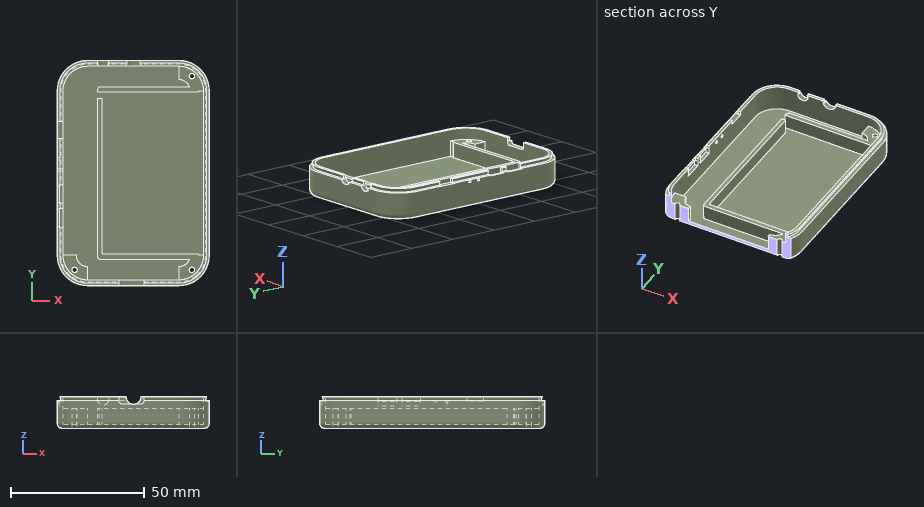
import cadquery as cq
import math

LENGTH_X = 57.2
LENGTH_Y = 84.7
HEIGHT = 12.0
CORNER_RADIUS = 11.5
BOTTOM_FILLET = 2.0
FLOOR_TOP = 1.6
ROOT_Z = FLOOR_TOP / 2

WALL = 2.2
LIP_TOP_INSET = 1.0
LIP_UNDERCUT = 0.4
SHELF_Z = 10.5

TANGENT_X = LENGTH_X / 2 - CORNER_RADIUS
TANGENT_Y = LENGTH_Y / 2 - CORNER_RADIUS
CAVITY_X = LENGTH_X / 2 - WALL
CAVITY_Y = LENGTH_Y / 2 - WALL

BOSS_TOP = 7.6
BOSS_SCOOP_RADIUS = 4.3
SCREW_DIAMETER = 1.9
SCREW_X = 22.05
SCREW_Y = 36.4
BOSS_CORNERS = [(1, 1), (1, -1), (-1, -1)]

RIB_LEFT = -13.4
RIB_SIDE_THICKNESS = 1.6
RIB_INNER_Y = 30.5
RIB_OUTER_Y = 32.4
RIB_RIGHT = 24.5
RIB_SIDE_TOP_Y = 28.0
RIB_OUTER_RADIUS = 1.0
RIB_INNER_RADIUS = 0.8
RIB_END_BEVEL_X = 0.55
RIB_END_BEVEL_Y = 1.0

CONNECTOR_X = -0.65
CONNECTOR_WIDTH = 9.4
CONNECTOR_BOTTOM = 9.2
CONNECTOR_RADIUS = 1.2

CABLE_NOTCHES = [(-11.3, 11.0, 4.3), (0.1, 11.9, 5.5)]

LIP_GAP_Y = 16.15
LIP_GAP_WIDTH = 6.3
LIP_GAP_BOTTOM = 10.4

BUTTON_NOTCHES = [(-7.9, 6.85), (-16.8, 7.15)]
BUTTON_NOTCH_BOTTOM = 10.25
BUTTON_NOTCH_SIDE_INSET = 0.3
BUTTON_POCKET_DEPTH_X = 1.4
BUTTON_POCKET_BOTTOM = 8.5

LIGHT_DIAMETER = 1.0
LIGHT_Z = 9.85
LIGHT_Y = [5.4, 1.2]


def block(x0, x1, y0, y1, z0, z1):
    """Axis-aligned box between the given limits."""
    return cq.Workplane("XY").box(x1 - x0, y1 - y0, z1 - z0, centered=False).translate((x0, y0, z0))


def rounded_slab(inset, z0, z1):
    """Tray outline moved inward by inset, extruded from z0 to z1."""
    slab = cq.Workplane("XY").workplane(offset=z0).rect(LENGTH_X - 2 * inset, LENGTH_Y - 2 * inset)
    return slab.extrude(z1 - z0).edges("|Z").fillet(CORNER_RADIUS - inset)


def undercut_lip():
    """Slab above the shelf whose side flares outward as it rises."""
    foot_inset = LIP_TOP_INSET + LIP_UNDERCUT
    lip_height = HEIGHT - SHELF_Z
    foot = rounded_slab(foot_inset, FLOOR_TOP, SHELF_Z)
    flare_angle = math.degrees(math.atan2(LIP_UNDERCUT, lip_height))
    return foot.faces(">Z").wires().toPending().extrude(lip_height, taper=-flare_angle)


def make_shell():
    body = rounded_slab(0, 0, SHELF_Z).faces("<Z").edges().fillet(BOTTOM_FILLET)
    return body.union(undercut_lip()).cut(rounded_slab(WALL, FLOOR_TOP, HEIGHT))


def make_bosses():
    """Corner blocks, each with a round scoop centred on its inward corner."""
    corner_slab = rounded_slab(WALL / 2, ROOT_Z, BOSS_TOP)
    bosses = cq.Workplane("XY")
    for side_x, side_y in BOSS_CORNERS:
        x_limits = sorted((side_x * TANGENT_X, side_x * LENGTH_X / 2))
        y_limits = sorted((side_y * TANGENT_Y, side_y * LENGTH_Y / 2))
        boss = corner_slab.intersect(block(*x_limits, *y_limits, 0, HEIGHT))
        scoop = cq.Workplane("XY", origin=(side_x * TANGENT_X, side_y * TANGENT_Y, FLOOR_TOP))
        scoop = scoop.circle(BOSS_SCOOP_RADIUS).extrude(HEIGHT)
        bosses = bosses.add(boss.cut(scoop))
    return bosses.combine()


def make_ribs():
    """L-shaped rib on the -X and -Y sides, and a separate straight rib on the +Y side."""
    z_limits = (ROOT_Z, BOSS_TOP)
    frame = block(RIB_LEFT, RIB_RIGHT, -RIB_OUTER_Y, RIB_OUTER_Y, *z_limits)
    frame = frame.edges("|Z and <X and <Y").fillet(RIB_OUTER_RADIUS)
    bevel = cq.Workplane("XY", origin=(RIB_LEFT, RIB_OUTER_Y, 0))
    bevel = bevel.polyline([(0, 0), (RIB_END_BEVEL_X, 0), (0, -RIB_END_BEVEL_Y)]).close().extrude(HEIGHT)
    opening = block(RIB_LEFT + RIB_SIDE_THICKNESS, LENGTH_X, -RIB_INNER_Y, RIB_INNER_Y, *z_limits)
    opening = opening.edges("|Z and <X and <Y").fillet(RIB_INNER_RADIUS)
    gap = block(RIB_LEFT, RIB_RIGHT, RIB_SIDE_TOP_Y, RIB_INNER_Y, *z_limits)
    return frame.cut(opening).cut(gap).cut(bevel)


def screw_holes():
    centres = [(side_x * SCREW_X, side_y * SCREW_Y) for side_x, side_y in BOSS_CORNERS]
    return cq.Workplane("XY").pushPoints(centres).circle(SCREW_DIAMETER / 2).extrude(HEIGHT)


def connector_notch():
    left = CONNECTOR_X - CONNECTOR_WIDTH / 2
    right = CONNECTOR_X + CONNECTOR_WIDTH / 2
    top = HEIGHT + CONNECTOR_RADIUS
    notch = block(left, right, -LENGTH_Y / 2, -CAVITY_Y, CONNECTOR_BOTTOM, top)
    return notch.edges("|Y and <Z").fillet(CONNECTOR_RADIUS)


def cable_notch(x, z, diameter):
    profile = cq.Workplane("XZ", origin=(0, LENGTH_Y / 2, 0)).center(x, z)
    return profile.circle(diameter / 2).extrude(WALL)


def lip_gap():
    y0 = LIP_GAP_Y - LIP_GAP_WIDTH / 2
    return block(-LENGTH_X / 2, -CAVITY_X, y0, y0 + LIP_GAP_WIDTH, LIP_GAP_BOTTOM, HEIGHT)


def button_notch(y, width):
    """Shallow notch through the wall with a wider, deeper pocket on its inner side."""
    half = width / 2
    half_outer = half - BUTTON_NOTCH_SIDE_INSET
    outer = block(-LENGTH_X / 2, -CAVITY_X, y - half_outer, y + half_outer, BUTTON_NOTCH_BOTTOM, HEIGHT)
    pocket_x = -CAVITY_X - BUTTON_POCKET_DEPTH_X
    pocket = block(pocket_x, -CAVITY_X, y - half, y + half, BUTTON_POCKET_BOTTOM, HEIGHT)
    return outer.union(pocket)


def light_holes():
    plane = cq.Workplane("YZ", origin=(-LENGTH_X / 2, 0, 0))
    centres = [(y, LIGHT_Z) for y in LIGHT_Y]
    return plane.pushPoints(centres).circle(LIGHT_DIAMETER / 2).extrude(WALL)


result = make_shell().union(make_bosses()).union(make_ribs())
result = result.cut(screw_holes()).cut(connector_notch()).cut(lip_gap()).cut(light_holes())
for notch in CABLE_NOTCHES:
    result = result.cut(cable_notch(*notch))
for notch in BUTTON_NOTCHES:
    result = result.cut(button_notch(*notch))